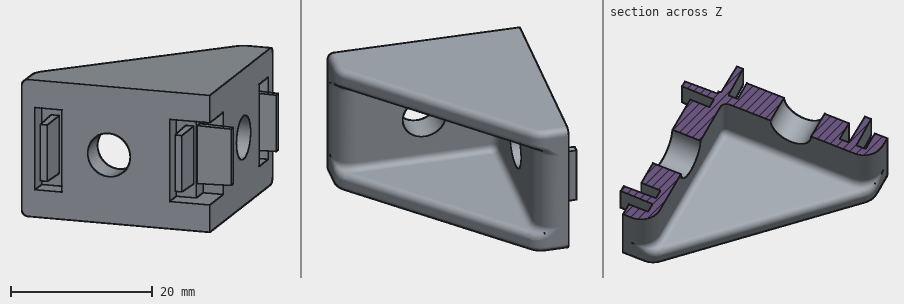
import cadquery as cq
import math

leg_length = 28.0
height = 20.0
tab_reach = 2.0
end_height = 3.33
blend_radius = 3.0
edge_radius = 1.0
leg_thickness = 4.45
side_wall = 3.0
hole_diameter = 6.3
hole_from_corner = 15.0
recess_depth = 3.0
recess_width = 4.0
recess_height = 12.0
tab_base = (1.2, 8.45)
tab_tip = (1.02, 8.22)
near_tab_rise = 0.25
far_tab_rise = 0.05
near_tab_from_corner = 4.0
far_tab_from_corner = 24.0

mid_height = height / 2
shoulder = end_height + blend_radius * math.tan(math.pi / 8)
rim_middle = (leg_length + shoulder) / 2
overrun = 3.0


def mirrored(shape):
    """Carry a feature of the -X leg over to the +Y leg."""
    return shape.mirror(cq.Vector(1, 1, 0), (0, 0, 0))


def wedge():
    """Triangular block with blended corners and rounded top and bottom edges."""
    outline = [
        (0, 0),
        (-leg_length, 0),
        (-leg_length, shoulder),
        (-shoulder, leg_length),
        (0, leg_length),
    ]
    block = cq.Workplane("XY").polyline(outline).close().extrude(height)
    for x, y in ((-leg_length, shoulder), (-shoulder, leg_length)):
        slant_end = cq.selectors.NearestToPointSelector((x, y, mid_height))
        block = block.edges(slant_end).fillet(blend_radius)
    return block.faces("<Z or >Z").edges("not(<Y or >X)").fillet(edge_radius)


def cavity():
    """Hollow between the legs, flaring out over their rounded inner ends."""
    flare = leg_thickness - blend_radius
    arc_mid = blend_radius * (1 - math.sqrt(0.5))
    far = leg_length + overrun
    hollow = (
        cq.Workplane("XY")
        .workplane(offset=side_wall)
        .moveTo(-far, flare)
        .lineTo(-leg_length, flare)
        .threePointArc(
            (-leg_length + arc_mid, leg_thickness - arc_mid),
            (-leg_length + blend_radius, leg_thickness),
        )
        .lineTo(-leg_thickness, leg_thickness)
        .lineTo(-leg_thickness, leg_length - blend_radius)
        .threePointArc(
            (-leg_thickness + arc_mid, leg_length - arc_mid),
            (-flare, leg_length),
        )
        .lineTo(-flare, far)
        .lineTo(-far, far)
        .close()
        .extrude(height - 2 * side_wall)
    )
    inner_corner = cq.selectors.NearestToPointSelector((-leg_thickness, leg_thickness, mid_height))
    hollow = hollow.edges("|Z").edges(inner_corner).fillet(edge_radius)
    floor_edges = cq.selectors.BoxSelector(
        (-leg_length, flare, 0), (-flare, leg_length, height)
    )
    return hollow.faces("<Z or >Z").edges(floor_edges).fillet(edge_radius)


def round_rim(body):
    """Round the two long slanted edges where the cavity opens."""
    for z in (side_wall, height - side_wall):
        rim_edge = cq.selectors.NearestToPointSelector((-rim_middle, rim_middle, z))
        body = body.edges(rim_edge).fillet(edge_radius)
    return body


def recess(nearest, farthest):
    """Recess in the -X leg between two distances from the corner."""
    return (
        cq.Workplane("XY", origin=(-farthest, 0, mid_height - recess_height / 2))
        .box(farthest - nearest, recess_depth, recess_height, centered=False)
    )


def tab(from_corner, rise):
    """Slightly tapered tab standing on the floor of a recess of the -X leg."""
    return (
        cq.Workplane("XZ", origin=(-from_corner, recess_depth, mid_height + rise))
        .rect(*tab_base)
        .workplane(offset=recess_depth + tab_reach)
        .rect(*tab_tip)
        .loft()
    )


def screw_hole():
    """Hole through the -X leg, stopping inside the cavity."""
    return (
        cq.Workplane("XZ", origin=(-hole_from_corner, 0, mid_height))
        .circle(hole_diameter / 2)
        .extrude(-(leg_thickness + overrun))
    )


result = round_rim(wedge().cut(cavity()))

cutters = [
    recess(0, near_tab_from_corner + recess_width / 2),
    recess(far_tab_from_corner - recess_width / 2, far_tab_from_corner + recess_width / 2),
    screw_hole(),
]
for cutter in cutters:
    result = result.cut(cutter).cut(mirrored(cutter))

tabs = [
    tab(near_tab_from_corner, near_tab_rise),
    tab(far_tab_from_corner, far_tab_rise),
]
for leg_tab in tabs:
    result = result.union(leg_tab).union(mirrored(leg_tab))